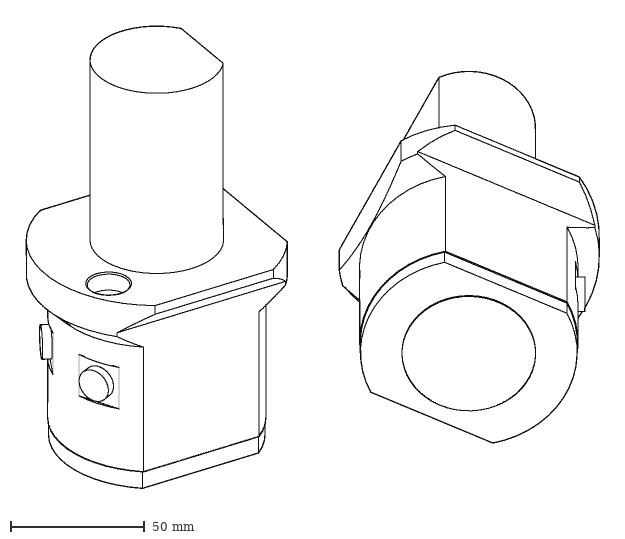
import cadquery as cq
import math

total_height = 163.0
bottom_boss_height = 0.7
ring_top = 8.0
cone_bottom = 62.1
rim_bottom = 70.1
flange_top = 85.0
shank_flat_bottom = 93.0

shank_diameter = 50.0
body_radius = 40.9
ring_radius = 40.6
flange_radius = 48.9

flange_width = 83.0
flange_half_width = flange_width / 2
body_half_width = 32.1
ring_half_width = 31.6
back_flat = 41.0
shank_flat = 19.9
side_edge_height = 3.7

hole_x = 18.5
hole_y = -32.3
hole_diameter = 16.0
hole_rim_diameter = 17.1
hole_depth = 7.5

pad_size = 18.0
pad_height = 43.0
pad_angle = 25.9
pin_diameter = 13.0
pin_length = 3.6


def cylinder(radius, bottom, top):
    return cq.Workplane("XY").workplane(offset=bottom).circle(radius).extrude(top - bottom)


def make_housing():
    """Revolved body and flange, trimmed by the side profile and the back flat."""
    revolved = (
        cq.Workplane("XZ")
        .moveTo(0, bottom_boss_height)
        .lineTo(ring_radius, bottom_boss_height)
        .lineTo(ring_radius, ring_top)
        .lineTo(body_radius, ring_top)
        .lineTo(body_radius, cone_bottom)
        .lineTo(flange_radius, rim_bottom)
        .lineTo(flange_radius, flange_top)
        .lineTo(0, flange_top)
        .close()
        .revolve(360, (0, 0, 0), (0, 1, 0))
    )
    side_edge_bottom = flange_top - side_edge_height
    side_slope_bottom = side_edge_bottom - (flange_half_width - body_half_width)
    right_side = [
        (ring_half_width, bottom_boss_height),
        (ring_half_width, ring_top),
        (body_half_width, ring_top),
        (body_half_width, side_slope_bottom),
        (flange_half_width, side_edge_bottom),
        (flange_half_width, flange_top),
    ]
    left_side = [(-x, z) for x, z in reversed(right_side)]
    trim = (
        cq.Workplane("XZ", origin=(0, back_flat, 0))
        .polyline(right_side + left_side)
        .close()
        .extrude(back_flat + flange_radius)
    )
    return revolved.intersect(trim)


def make_shank():
    """Round shank with a flat on its back above a short full-round foot."""
    flat_cut = (
        cq.Workplane("XY", origin=(0, shank_flat, shank_flat_bottom))
        .rect(shank_diameter, shank_diameter)
        .extrude(total_height - shank_flat_bottom)
        .translate((0, shank_diameter / 2, 0))
    )
    return cylinder(shank_diameter / 2, flange_top, total_height).cut(flat_cut)


def make_flange_hole():
    """Cutter for the blind hole with its chamfered rim."""
    chamfer = (hole_rim_diameter - hole_diameter) / 2
    rim_radius = hole_rim_diameter / 2
    bore = cylinder(hole_diameter / 2, flange_top - hole_depth, flange_top)
    cone = cq.Solid.makeCone(
        rim_radius - chamfer, rim_radius, chamfer, cq.Vector(0, 0, flange_top - chamfer)
    )
    return bore.union(cq.Workplane(cone)).translate((hole_x, hole_y, 0))


def add_pinned_pad(part, angle):
    """Mill a square flat into the front wall, turned about Z, and set a pin on it."""
    pad_distance = math.sqrt(body_radius**2 - (pad_size / 2) ** 2)
    pad_plane = cq.Workplane("XZ", origin=(0, -pad_distance, pad_height))
    cutter = pad_plane.rect(pad_size, pad_size).extrude(body_radius - pad_distance)
    pin = pad_plane.circle(pin_diameter / 2).extrude(pin_length)
    axis = ((0, 0, 0), (0, 0, 1))
    return part.cut(cutter.rotate(*axis, angle)).union(pin.rotate(*axis, angle))


bottom_boss = cylinder(shank_diameter / 2, 0, bottom_boss_height)
result = make_housing().union(make_shank()).union(bottom_boss)
result = result.cut(make_flange_hole())
for side in (-1, 1):
    result = add_pinned_pad(result, side * pad_angle)